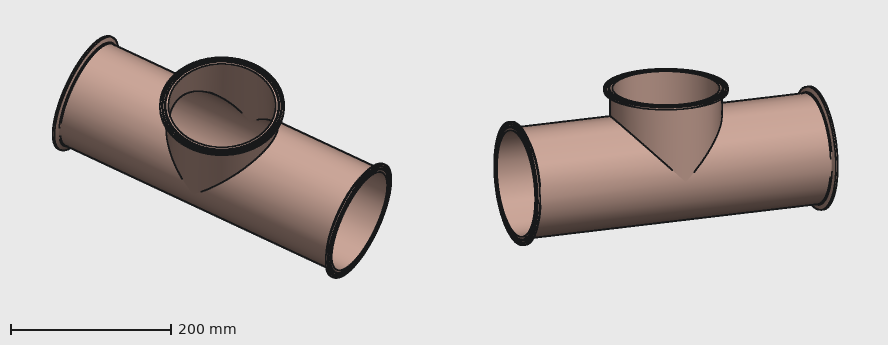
import cadquery as cq
import math

run_length = 400.0
branch_height = 102.0
tube_radius = 140.0 / 2
bore_radius = 134.0 / 2

flange_radius = 155.0 / 2
rim_thickness = 3.0
back_angle = math.radians(20)
blend_radius = 1.5

groove_radius = 73.0
groove_mouth_width = 5.0
groove_floor_width = 2.5
groove_depth = 1.5


def ferrule_outline():
    """Half section of a ferrule: X is the radius and Y is the depth behind its end face."""
    center_radius = tube_radius + blend_radius
    cone_end_radius = center_radius - blend_radius * math.sin(back_angle)
    cone_end_depth = rim_thickness + (flange_radius - cone_end_radius) * math.tan(back_angle)
    center_depth = cone_end_depth + blend_radius * math.cos(back_angle)
    mid_angle = (math.pi / 2 - back_angle) / 2
    blend_mid = (
        center_radius - blend_radius * math.cos(mid_angle),
        center_depth - blend_radius * math.sin(mid_angle),
    )
    return (
        cq.Workplane("XY")
        .moveTo(bore_radius, 0)
        .lineTo(flange_radius, 0)
        .lineTo(flange_radius, rim_thickness)
        .lineTo(cone_end_radius, cone_end_depth)
        .threePointArc(blend_mid, (tube_radius, center_depth))
        .lineTo(bore_radius, center_depth)
        .close()
    )


def groove_outline():
    """Trapezoidal groove section, narrowing toward its floor."""
    return cq.Workplane("XY").polyline([
        (groove_radius - groove_mouth_width / 2, 0),
        (groove_radius + groove_mouth_width / 2, 0),
        (groove_radius + groove_floor_width / 2, groove_depth),
        (groove_radius - groove_floor_width / 2, groove_depth),
    ]).close()


def make_ferrule():
    """Ferrule around the Y axis, with its end face at Y = 0 and its body toward +Y."""
    body = ferrule_outline().revolve(360, (0, 0), (0, 1))
    groove = groove_outline().revolve(360, (0, 0), (0, 1))
    return body.cut(groove)


def tee(radius):
    """Solid run along X joined to a branch along +Z."""
    run = cq.Workplane("YZ").circle(radius).extrude(run_length / 2, both=True)
    branch = cq.Workplane("XY").circle(radius).extrude(branch_height)
    return run.union(branch)


ferrule = make_ferrule()
left_ferrule = ferrule.rotate((0, 0, 0), (0, 0, 1), -90).translate((-run_length / 2, 0, 0))
right_ferrule = left_ferrule.mirror("YZ")
top_ferrule = ferrule.rotate((0, 0, 0), (1, 0, 0), -90).translate((0, 0, branch_height))

result = tee(tube_radius)
for end_ferrule in (left_ferrule, right_ferrule, top_ferrule):
    result = result.union(end_ferrule)
result = result.cut(tee(bore_radius))